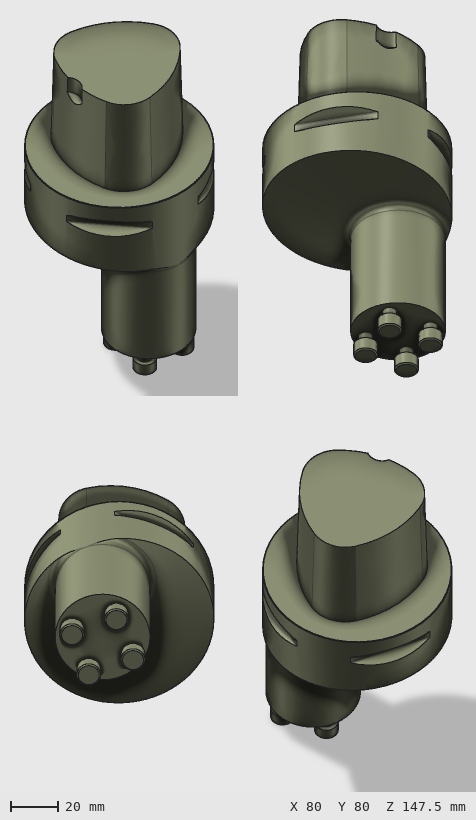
import cadquery as cq
import math

flange_diameter = 80.0
flange_radius = flange_diameter / 2
flange_edge_chamfer = 0.3

shank_height = 48.0
lobe_tip_distance = 29.8
flat_distance = 25.4
lobe_radius = 16.4
lobe_angles = (90, 210, 330)
lobe_pitch = 120
shank_taper = 1 / 40

notch_radius = 6.5
notch_center_y = -28.3
notch_depth = 8.1

overlap = 1.5

groove_count = 4
first_groove_angle = 45
groove_center_z = -12.0
groove_floor_distance = 35.5
groove_floor_width = 3.5
groove_wall_angle = 30
groove_corner_fillet = 0.5

bar_diameter = flange_diameter / 2
bar_radius = bar_diameter / 2
bar_center_x = flange_radius - bar_radius
cone_angle = 10
cone_rim_z = -30.1
bar_fillet_radius = 3.5

screw_spacing = bar_diameter / 2
screw_neck_diameter = 6.0
screw_head_diameter = 10.0
screw_neck_height = 4.4
screw_head_height = 6.0
screw_head_chamfer = 0.6
total_height = 147.5
screw_bottom_z = shank_height - total_height
bar_bottom_z = screw_bottom_z + screw_head_height + screw_neck_height


def polar(radius, angle):
    """Point at a distance from the axis, with the angle in degrees from +X."""
    return cq.Vector(radius * math.cos(math.radians(angle)), radius * math.sin(math.radians(angle)))


def shank_outline(offset, z):
    """Three lobe arcs joined tangentially by three flank arcs, all moved inward by offset."""
    lobe_center_distance = lobe_tip_distance - lobe_radius
    flank_radius = (
        lobe_center_distance**2 + flat_distance**2 - lobe_center_distance * flat_distance - lobe_radius**2
    ) / (2 * flat_distance - 2 * lobe_radius - lobe_center_distance)
    flank_center_distance = flank_radius - flat_distance

    def joint(lobe_angle, side):
        """Tangent point of a lobe and the flank beside it (side +1 or -1)."""
        lobe_center = polar(lobe_center_distance, lobe_angle)
        flank_center = polar(-flank_center_distance, lobe_angle + side * lobe_pitch / 2)
        normal = (lobe_center - flank_center).normalized()
        return (lobe_center + normal * (lobe_radius - offset)).toTuple()[:2]

    outline = cq.Workplane("XY", origin=(0, 0, z)).moveTo(*joint(lobe_angles[0], -1))
    for lobe_angle in lobe_angles:
        lobe_tip = polar(lobe_tip_distance - offset, lobe_angle).toTuple()[:2]
        flank_middle = polar(flat_distance - offset, lobe_angle + lobe_pitch / 2).toTuple()[:2]
        outline = outline.threePointArc(lobe_tip, joint(lobe_angle, 1))
        outline = outline.threePointArc(flank_middle, joint(lobe_angle + lobe_pitch, -1))
    return outline.close().val()


def make_shank():
    base = shank_outline(0, 0)
    top = shank_outline(shank_height * shank_taper, shank_height)
    return cq.Workplane(cq.Solid.makeLoft([base, top], True))


def make_notch():
    """Vertical drilled hole with a 90 degree point; only its inner side cuts the shank."""
    return (
        cq.Workplane("XZ", origin=(0, notch_center_y, shank_height))
        .lineTo(notch_radius, 0)
        .lineTo(notch_radius, -notch_depth)
        .lineTo(0, -notch_depth - notch_radius)
        .close()
        .revolve(360, (0, 0), (0, 1))
    )


def make_flange_and_bar():
    """Flange cylinder ended below by a cone about the bar axis, which runs into the bar by a fillet."""
    slope = math.radians(cone_angle)
    rim_radius = flange_radius + bar_center_x
    outer_radius = rim_radius + overlap
    fillet_center_r = bar_radius + bar_fillet_radius
    fillet_end_r = fillet_center_r - bar_fillet_radius * math.sin(slope)
    fillet_end_z = cone_rim_z - (rim_radius - fillet_end_r) * math.tan(slope)
    fillet_center_z = fillet_end_z - bar_fillet_radius * math.cos(slope)
    mid_angle = (math.pi + math.pi / 2 + slope) / 2
    fillet_middle = (
        fillet_center_r + bar_fillet_radius * math.cos(mid_angle),
        fillet_center_z + bar_fillet_radius * math.sin(mid_angle),
    )
    cone = (
        cq.Workplane("XZ", origin=(bar_center_x, 0, 0))
        .lineTo(outer_radius, 0)
        .lineTo(outer_radius, cone_rim_z + overlap * math.tan(slope))
        .lineTo(fillet_end_r, fillet_end_z)
        .threePointArc(fillet_middle, (bar_radius, fillet_center_z))
        .lineTo(0, fillet_center_z)
        .close()
        .revolve(360, (0, 0), (0, 1))
    )
    flange = (
        cq.Workplane("XY")
        .circle(flange_radius)
        .extrude(fillet_center_z)
        .faces(">Z")
        .chamfer(flange_edge_chamfer)
        .intersect(cone)
    )
    bar = (
        cq.Workplane("XY", origin=(bar_center_x, 0, bar_bottom_z))
        .circle(bar_radius)
        .extrude(fillet_center_z - bar_bottom_z)
    )
    return flange.union(bar)


def make_groove(angle):
    """Straight groove of trapezoid section with rounded inner corners, cut across the flange rim."""
    outer = flange_radius + overlap
    floor_half = groove_floor_width / 2
    outer_half = floor_half + (outer - groove_floor_distance) * math.tan(math.radians(groove_wall_angle))
    return (
        cq.Workplane("XZ", origin=(0, 0, groove_center_z))
        .moveTo(groove_floor_distance, -floor_half)
        .lineTo(outer, -outer_half)
        .lineTo(outer, outer_half)
        .lineTo(groove_floor_distance, floor_half)
        .close()
        .extrude(flange_radius, both=True)
        .edges("|Y and <X")
        .fillet(groove_corner_fillet)
        .rotate((0, 0, 0), (0, 0, 1), angle)
    )


def make_screws():
    bottom = cq.Workplane("XY", origin=(bar_center_x, 0, screw_bottom_z))
    heads = (
        bottom.rarray(screw_spacing, screw_spacing, 2, 2)
        .circle(screw_head_diameter / 2)
        .extrude(screw_head_height)
        .faces("<Z")
        .chamfer(screw_head_chamfer)
    )
    necks = (
        bottom.rarray(screw_spacing, screw_spacing, 2, 2)
        .circle(screw_neck_diameter / 2)
        .extrude(screw_head_height + screw_neck_height)
    )
    return heads.union(necks)


body = make_flange_and_bar()
for index in range(groove_count):
    body = body.cut(make_groove(first_groove_angle + index * 360 / groove_count))

result = body.union(make_shank().cut(make_notch())).union(make_screws())